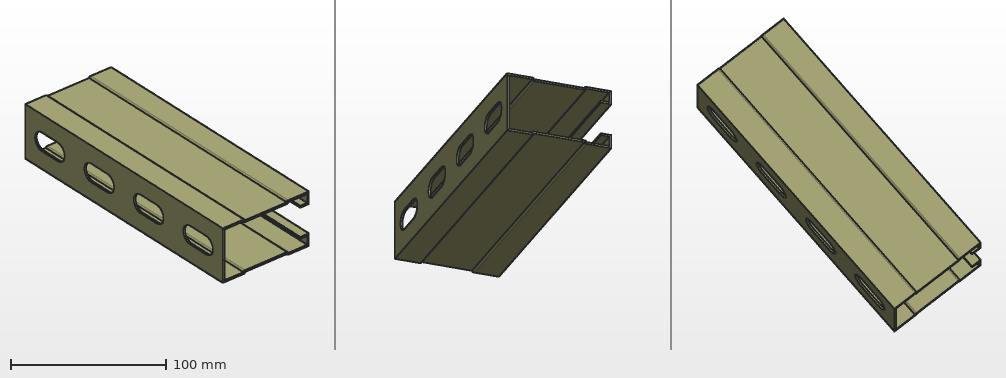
import cadquery as cq
import math

length = 200.0
depth = 72.0
height = 41.2
wall = 1.5

lip_height = 9.5
lip_length = 7.2

recess_depth = 1.0
recess_margin = 17.2
step_run = math.sqrt(wall**2 - (wall - recess_depth) ** 2)

slot_count = 4
slot_pitch = length / slot_count
slot_length = 30.0
slot_width = 14.0

back = -depth / 2
front = depth / 2
top = height / 2
inner_top = top - wall
floor = top - recess_depth
inner_floor = floor - wall
step_start = depth / 2 - recess_margin
step_end = step_start - step_run

arc_half_angle = math.asin(step_run / wall) / 2
arc_mid_y = wall * math.sin(arc_half_angle)
arc_mid_z = wall * math.cos(arc_half_angle)


def flange():
    """Section of the top flange with its recess."""
    outer_mid_y = step_start - arc_mid_y
    outer_mid_z = inner_top + arc_mid_z
    inner_mid_y = step_end + arc_mid_y
    inner_mid_z = floor - arc_mid_z
    return (
        cq.Workplane("YZ")
        .moveTo(back, top)
        .lineTo(-step_start, top)
        .threePointArc((-outer_mid_y, outer_mid_z), (-step_end, floor))
        .lineTo(step_end, floor)
        .threePointArc((outer_mid_y, outer_mid_z), (step_start, top))
        .lineTo(front, top)
        .lineTo(front, inner_top)
        .lineTo(step_start, inner_top)
        .threePointArc((inner_mid_y, inner_mid_z), (step_end, inner_floor))
        .lineTo(-step_end, inner_floor)
        .threePointArc((-inner_mid_y, inner_mid_z), (-step_start, inner_top))
        .lineTo(back, inner_top)
        .close()
        .extrude(length / 2, both=True)
    )


def lip():
    """Upper front wall and the lip turned back into the channel."""
    lip_bottom = top - lip_height
    lip_end = front - lip_length
    outline = [
        (front, top),
        (front, lip_bottom),
        (lip_end, lip_bottom),
        (lip_end, lip_bottom + wall),
        (front - wall, lip_bottom + wall),
        (front - wall, top),
    ]
    return cq.Workplane("YZ").polyline(outline).close().extrude(length / 2, both=True)


def back_wall():
    """Wall at -Y with its row of slots."""
    plate = cq.Workplane("XY").box(length, wall, height).translate((0, back + wall / 2, 0))
    slots = (
        cq.Workplane("XZ", origin=(0, back + wall, 0))
        .rarray(slot_pitch, 2, slot_count, 1)
        .slot2D(slot_length, slot_width)
        .extrude(wall)
    )
    return plate.cut(slots)


upper_side = flange().union(lip())
lower_side = upper_side.mirror("XY")
result = back_wall().union(upper_side).union(lower_side).clean()